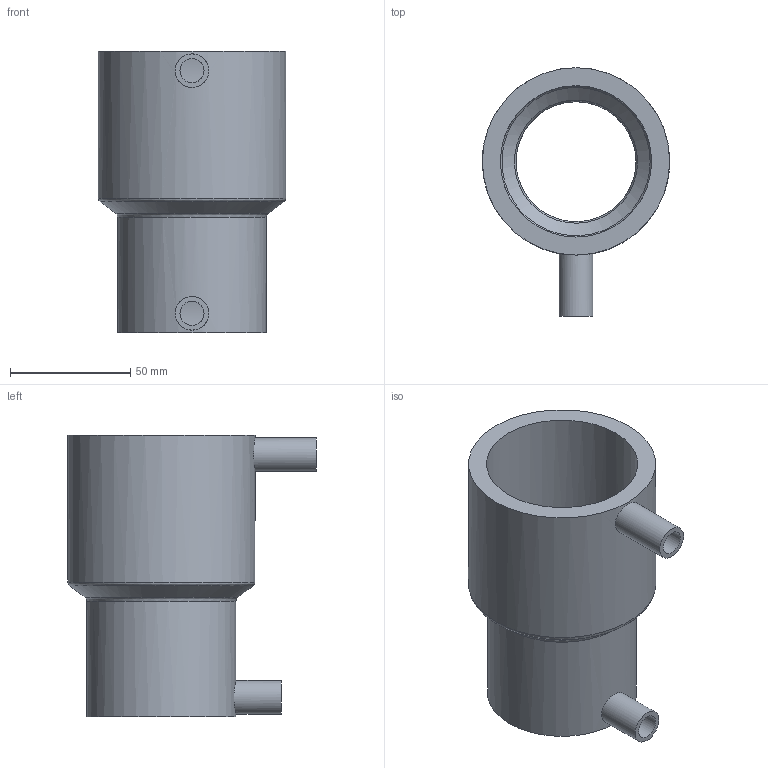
import cadquery as cq

total_height = 117.0
socket_outer_radius = 39.0
socket_bore_radius = 31.5
spigot_outer_radius = 31.0
spigot_bore_radius = 25.0

cone_bottom_z = 49.0
cone_top_z = 55.0
cone_blend_radius = 2.0

port_outer_radius = 7.0
port_bore_radius = 5.0
port_end_offset = 8.0
socket_port_reach = 64.5
spigot_port_reach = 50.0


def stepped_cylinder(spigot_radius, socket_radius):
    """Solid of revolution about Z with a conical step blended at both of its edges."""
    profile = [
        (0, 0),
        (spigot_radius, 0),
        (spigot_radius, cone_bottom_z),
        (socket_radius, cone_top_z),
        (socket_radius, total_height),
        (0, total_height),
    ]
    solid = cq.Workplane("XZ").polyline(profile).close().revolve(360, (0, 0), (0, 1))
    cone_edges = solid.faces("%CONE").edges("%CIRCLE")
    return cone_edges.fillet(cone_blend_radius)


def rod_toward_front(radius, reach, height):
    """Cylinder from the sleeve axis out to y = -reach, centred at the given height."""
    return cq.Workplane("XZ", origin=(0, 0, height)).circle(radius).extrude(reach)


ports = [
    (spigot_port_reach, port_end_offset),
    (socket_port_reach, total_height - port_end_offset),
]

result = stepped_cylinder(spigot_outer_radius, socket_outer_radius)
for reach, height in ports:
    port = rod_toward_front(port_outer_radius, reach, height)
    port = port.cut(rod_toward_front(port_bore_radius, reach, height))
    result = result.union(port)

result = result.cut(stepped_cylinder(spigot_bore_radius, socket_bore_radius))